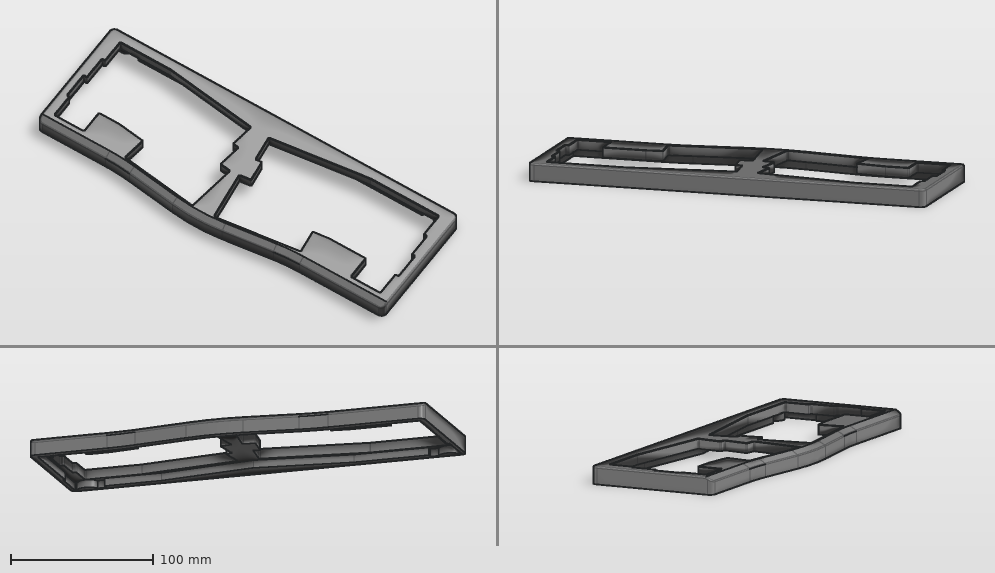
import cadquery as cq
import math

LENGTH = 292.5
DEPTH = 103.5
HEIGHT = 13.0
CORNER_RADIUS = 4.0
BEVEL_DEPTH = 5.3
BEVEL_DROP = 3.0
RIM_RADIUS = 1.05

SPLAY = math.radians(7.5)
WAVE_CENTER_X = -6.7
INNER_ARC_END = 21.0
SLOPE_END = 61.0
OUTER_ARC_END = 82.0

ROW_PITCH = 19.0
KEY_CLEARANCE = 0.73
BACK_MARGIN = 8.5
OPENING_RADIUS = 0.8
OPENING_CHAMFER = 0.45

DECK_THICKNESS = 7.3
SIDE_WALL = 4.7
FRONT_WALL = 5.9
BACK_WALL = 6.7
BACK_WALL_BEND = 71.5

POCKET_WALL = 3.0
POCKET_LENGTH = 23.0
POCKET_DEPTH = 26.5
BOSS_RADIUS = 8.8
BOSS_FROM_END = 12.0
BOSS_BEHIND_BACK = 1.2

BACK_Y = DEPTH / 2
WAVE_Y = -DEPTH / 2
RECESS_HEIGHT = HEIGHT - DECK_THICKNESS


def front_wave(half_length, inset):
    """Start a path along the front edge, moved back by inset, from the -X end to the +X end."""
    outer_arc_span = OUTER_ARC_END - SLOPE_END
    slope_start_y = WAVE_Y + inset + INNER_ARC_END * math.tan(SPLAY / 2)
    slope_end_y = slope_start_y + (SLOPE_END - INNER_ARC_END) * math.tan(SPLAY)
    end_y = slope_end_y + outer_arc_span * math.tan(SPLAY / 2)
    inner_radius = INNER_ARC_END / math.sin(SPLAY)
    outer_radius = outer_arc_span / math.sin(SPLAY)
    return (
        cq.Workplane("XY")
        .moveTo(-half_length, end_y)
        .lineTo(WAVE_CENTER_X - OUTER_ARC_END, end_y)
        .radiusArc((WAVE_CENTER_X - SLOPE_END, slope_end_y), outer_radius)
        .lineTo(WAVE_CENTER_X - INNER_ARC_END, slope_start_y)
        .radiusArc((WAVE_CENTER_X + INNER_ARC_END, slope_start_y), -inner_radius)
        .lineTo(WAVE_CENTER_X + SLOPE_END, slope_end_y)
        .radiusArc((WAVE_CENTER_X + OUTER_ARC_END, end_y), outer_radius)
        .lineTo(half_length, end_y)
    )


def frame_blank():
    """Solid slab with the front bevel, rounded corners and a rounded upper rim."""
    slab = (
        front_wave(LENGTH / 2, 0)
        .lineTo(LENGTH / 2, BACK_Y)
        .lineTo(-LENGTH / 2, BACK_Y)
        .close()
        .extrude(HEIGHT)
    )
    front_edges = slab.faces(">Z").edges("not(<X or >X or >Y)")
    slab = front_edges.chamfer(BEVEL_DROP, BEVEL_DEPTH)
    slab = slab.edges("|Z").edges("<X or >X").fillet(CORNER_RADIUS)

    front_middle = (WAVE_CENTER_X, WAVE_Y, HEIGHT - BEVEL_DROP)
    front_rim = slab.edges(cq.selectors.NearestToPointSelector(front_middle))
    return slab.faces(">Z").edges(">Y").add(front_rim).fillet(RIM_RADIUS)


def key_rows(rows):
    """Key rows along +X from a bend at the origin, stacked toward -Y; each row is (start, end)."""
    height = ROW_PITCH + 2 * KEY_CLEARANCE
    joined = cq.Workplane("XY")
    for index, (start, end) in enumerate(rows):
        row = cq.Workplane("XY").box(end - start, height, HEIGHT, centered=(False, False, False))
        joined = joined.union(row.translate((start, -index * ROW_PITCH - height, 0)))
    return joined


def key_opening(bend_x, outer_rows, inner_rows, mirrored):
    """Opening for one hand: straight rows outside the bend, splayed rows inside it."""
    outer = key_rows(outer_rows)
    inner = key_rows(inner_rows).mirror("YZ").rotate((0, 0, 0), (0, 0, 1), math.degrees(SPLAY))
    opening = outer.union(inner).clean().edges("|Z").fillet(OPENING_RADIUS)
    if mirrored:
        opening = opening.mirror("YZ")
    return opening.translate((bend_x, BACK_Y - BACK_MARGIN, 0))


def corner_pocket(side):
    """Pocket at one back corner of the recess; side is -1 for the -X end and 1 for the +X end."""
    pocket_x = side * (LENGTH / 2 - POCKET_WALL - POCKET_LENGTH / 2)
    pocket_y = BACK_Y - POCKET_WALL - POCKET_DEPTH / 2
    pocket = cq.Workplane("XY").center(pocket_x, pocket_y).rect(POCKET_LENGTH, POCKET_DEPTH)
    return pocket.extrude(RECESS_HEIGHT)


def corner_boss(side):
    """Round boss left standing at the back wall of a corner pocket."""
    boss_x = side * (LENGTH / 2 - BOSS_FROM_END)
    boss = cq.Workplane("XY").center(boss_x, BACK_Y + BOSS_BEHIND_BACK).circle(BOSS_RADIUS)
    return boss.extrude(RECESS_HEIGHT)


def underside_recess():
    """Recess whose back wall slopes in to a point at the wave centre, with its corner pockets."""
    side_x = LENGTH / 2 - SIDE_WALL
    back_y = BACK_Y - BACK_WALL
    recess = (
        front_wave(side_x, FRONT_WALL)
        .lineTo(side_x, back_y)
        .lineTo(WAVE_CENTER_X + BACK_WALL_BEND, back_y)
        .lineTo(WAVE_CENTER_X, back_y - BACK_WALL_BEND * math.tan(SPLAY))
        .lineTo(WAVE_CENTER_X - BACK_WALL_BEND, back_y)
        .lineTo(-side_x, back_y)
        .close()
        .extrude(RECESS_HEIGHT)
    )
    for side in (-1, 1):
        recess = recess.union(corner_pocket(side)).cut(corner_boss(side))
    return recess


def chamfer_openings(frame):
    """Break the top edges of the openings."""
    top_face = frame.faces(">Z").val()
    rim_edges = [edge for wire in top_face.innerWires() for edge in wire.Edges()]
    return frame.newObject(rim_edges).chamfer(OPENING_CHAMFER)


left_opening = key_opening(
    bend_x=-92.2,
    outer_rows=[(0, 42.0), (0, 44.8), (0, 47.7), (21.0, 45.6)],
    inner_rows=[(0, 75.2), (0, 80.2), (0, 89.0), (26.3, 89.0)],
    mirrored=True,
)
right_opening = key_opening(
    bend_x=77.2,
    outer_rows=[(0, 57.5), (0, 60.3), (0, 63.0), (35.7, 60.3)],
    inner_rows=[(0, 79.5), (0, 74.5), (0, 84.0), (16.5, 84.0)],
    mirrored=False,
)

frame = frame_blank().cut(left_opening).cut(right_opening)
result = chamfer_openings(frame).cut(underside_recess())